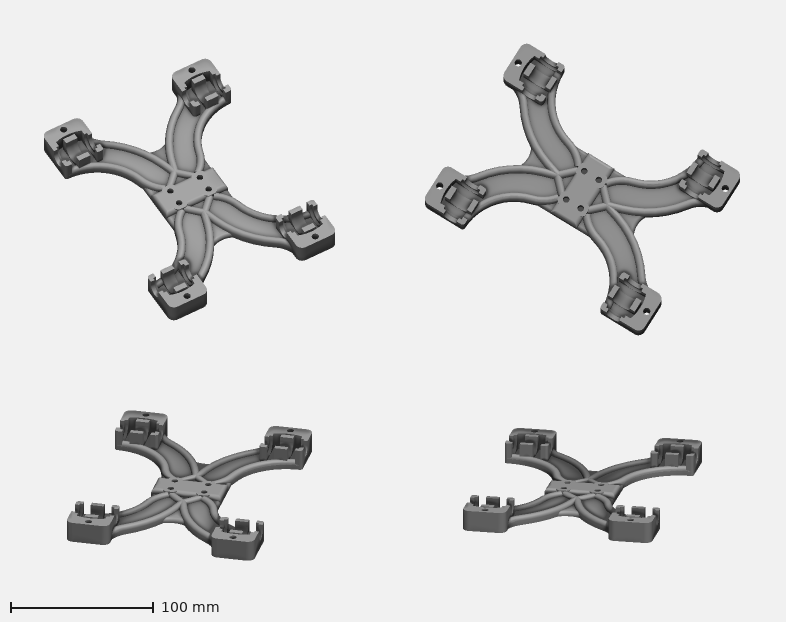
import cadquery as cq
import math

BLOCK_LEFT, BLOCK_RIGHT = -90.0, -56.0
BLOCK_FRONT, BLOCK_BACK = 36.5, 67.5
BLOCK_HEIGHT = 14.78
BLOCK_MID_Y = (BLOCK_FRONT + BLOCK_BACK) / 2
OUTER_CORNER_RADIUS = 5.0
INNER_CORNER_RADIUS = 2.0
MOUNT_HOLE_X = -85.3
MOUNT_HOLE_DIAMETER = 5.0

AXLE_X = -67.0
AXLE_Z = 11.0
AXLE_SLOT_RADIUS = 5.3
RECESS_RADIUS = 7.4
RECESS_LENGTH = 24.9
POCKET_LENGTH = 20.5
POCKET_LEFT = -80.1
POCKET_END_LEFT = -78.3
CRADLE_LEFT, CRADLE_RIGHT = -78.2, -56.2
CRADLE_LENGTH = 9.2
CRADLE_RADIUS = 7.0

FLOOR_HEIGHT = 3.3
RIDGE_HALF_WIDTH = 2.9
RIDGE_TOP_HALF_WIDTH = 0.15
RIDGE_ROUND = RIDGE_HALF_WIDTH - RIDGE_TOP_HALF_WIDTH
RIDGE_HEIGHT = 6.12
DIAGONAL_HEIGHT = 6.02
OUTER_CENTER = (-15.5, 65.75)
OUTER_EDGE_RADIUS = -BLOCK_RIGHT + OUTER_CENTER[0]
OUTER_RADIUS = OUTER_EDGE_RADIUS + RIDGE_HALF_WIDTH
OUTER_TURN_ANGLE = 254.6
OUTER_END_RADIUS = 28.7
OUTER_END_ANGLE = 36.0
INNER_CENTER = (-9.0, 71.3)
INNER_RADIUS = 71.3
INNER_FLARE_ANGLE = 215.0
INNER_FLARE_RADIUS = 24.0
INNER_FLARE_END_ANGLE = 80.0
INNER_TURN_ANGLE = 252.2
JUNCTION = (-20.5, 0.2)
DIAGONAL_OVERRUN = 1.5
DIAGONAL_PLATE_OVERLAP = 0.5

PLATE_HALF_X = 10.9
PAD_HALF_X = 11.3
PLATE_HALF_Y = 25.0
PLATE_HEIGHT = 6.7
PLATE_END_FILLET = 2.5
PLATE_SIDE_FILLET = PLATE_HEIGHT - FLOOR_HEIGHT
PAD_LENGTH = 10.0
PAD_CORNER = 2.0
SCREW_X, SCREW_Y = 6.0, 12.0
SCREW_HOLE_DIAMETER = 4.6
SCREW_HOLE_DEPTH = 5.0

WEB_EDGE_FILLET = 2.5
WEB_HALF_X = 22.0
SIDE_WEB_EDGE_X = -45.2
SIDE_WEB_CORNER = (-48.7, 10.0)


def polar(center, radius, degrees):
    angle = math.radians(degrees)
    return (center[0] + radius * math.cos(angle), center[1] + radius * math.sin(angle))


def box(x0, x1, y0, y1, z0, z1):
    return cq.Workplane("XY").box(x1 - x0, y1 - y0, z1 - z0, centered=False).translate((x0, y0, z0))


def both_sides(shape, plane):
    return shape.union(shape.mirror(plane))


def draw_outer_line(sketch):
    """Arc from the block, then a reverse arc into the centre plate."""
    end_center = polar(OUTER_CENTER, OUTER_RADIUS + OUTER_END_RADIUS, OUTER_TURN_ANGLE)
    end_start_angle = OUTER_TURN_ANGLE - 180
    end_mid_angle = (end_start_angle + OUTER_END_ANGLE) / 2
    return (
        sketch.moveTo(*polar(OUTER_CENTER, OUTER_RADIUS, 180))
        .threePointArc(
            polar(OUTER_CENTER, OUTER_RADIUS, (180 + OUTER_TURN_ANGLE) / 2),
            polar(OUTER_CENTER, OUTER_RADIUS, OUTER_TURN_ANGLE),
        )
        .threePointArc(
            polar(end_center, OUTER_END_RADIUS, end_mid_angle),
            polar(end_center, OUTER_END_RADIUS, OUTER_END_ANGLE),
        )
    )


def flare_center():
    return polar(INNER_CENTER, INNER_RADIUS + INNER_FLARE_RADIUS, INNER_FLARE_ANGLE)


def inner_flare_start():
    return polar(flare_center(), INNER_FLARE_RADIUS, INNER_FLARE_END_ANGLE)


def draw_inner_line(sketch):
    """From the flare start: flare out of the block, long arc, then a short reverse arc to the junction."""
    flare_mid_angle = (INNER_FLARE_END_ANGLE + INNER_FLARE_ANGLE - 180) / 2
    return (
        sketch.threePointArc(
            polar(flare_center(), INNER_FLARE_RADIUS, flare_mid_angle),
            polar(INNER_CENTER, INNER_RADIUS, INNER_FLARE_ANGLE),
        )
        .threePointArc(
            polar(INNER_CENTER, INNER_RADIUS, (INNER_FLARE_ANGLE + INNER_TURN_ANGLE) / 2),
            polar(INNER_CENTER, INNER_RADIUS, INNER_TURN_ANGLE),
        )
        .tangentArcPoint(JUNCTION, relative=False)
    )


def ridge(path, start, heading, height=RIDGE_HEIGHT):
    """Round-topped bar swept along a path that starts at a point with a given heading."""
    angle = math.radians(heading)
    plane = cq.Plane(
        origin=(start[0], start[1], 0),
        xDir=(-math.sin(angle), math.cos(angle), 0),
        normal=(math.cos(angle), math.sin(angle), 0),
    )
    profile = (
        cq.Workplane(plane)
        .moveTo(-RIDGE_HALF_WIDTH, 0)
        .lineTo(RIDGE_HALF_WIDTH, 0)
        .lineTo(RIDGE_HALF_WIDTH, height - RIDGE_ROUND)
        .radiusArc((RIDGE_TOP_HALF_WIDTH, height), -RIDGE_ROUND)
        .lineTo(-RIDGE_TOP_HALF_WIDTH, height)
        .radiusArc((-RIDGE_HALF_WIDTH, height - RIDGE_ROUND), -RIDGE_ROUND)
        .close()
    )
    return profile.sweep(path)


def outer_ridge():
    path = draw_outer_line(cq.Workplane("XY"))
    return ridge(path, polar(OUTER_CENTER, OUTER_RADIUS, 180), -90)


def inner_ridge():
    start = inner_flare_start()
    path = draw_inner_line(cq.Workplane("XY").moveTo(*start))
    return ridge(path, start, INNER_FLARE_END_ANGLE - 90)


def diagonal_end():
    """End of the 45 degree line from the junction, just inside the centre plate."""
    x = -PLATE_HALF_X + DIAGONAL_PLATE_OVERLAP
    return (x, JUNCTION[1] + x - JUNCTION[0])


def diagonal_ridge():
    """Short straight ridge from the junction up to the centre plate."""
    start = (JUNCTION[0] - DIAGONAL_OVERRUN, JUNCTION[1] - DIAGONAL_OVERRUN)
    path = cq.Workplane("XY").moveTo(*start).lineTo(*diagonal_end())
    return ridge(path, start, 45, DIAGONAL_HEIGHT)


def arm_floor():
    outline = draw_outer_line(cq.Workplane("XY")).lineTo(*diagonal_end()).lineTo(*JUNCTION)
    outline = outline.lineTo(*polar(INNER_CENTER, INNER_RADIUS, INNER_TURN_ANGLE))
    outline = outline.threePointArc(
        polar(INNER_CENTER, INNER_RADIUS, (INNER_FLARE_ANGLE + INNER_TURN_ANGLE) / 2),
        polar(INNER_CENTER, INNER_RADIUS, INNER_FLARE_ANGLE),
    )
    return outline.lineTo(*inner_flare_start()).lineTo(AXLE_X, BLOCK_MID_Y).close().extrude(FLOOR_HEIGHT)


def along_axle(radius, length):
    """U-shaped cutter, open at the top, centred in the block."""
    y0 = BLOCK_MID_Y - length / 2
    y1 = BLOCK_MID_Y + length / 2
    round_part = cq.Workplane("XZ", origin=(AXLE_X, y1, AXLE_Z)).circle(radius).extrude(length)
    return round_part.union(box(AXLE_X - radius, AXLE_X + radius, y0, y1, AXLE_Z, BLOCK_HEIGHT))


def block():
    body = box(BLOCK_LEFT, BLOCK_RIGHT, BLOCK_FRONT, BLOCK_BACK, 0, BLOCK_HEIGHT)
    body = body.edges("|Z and <X").fillet(OUTER_CORNER_RADIUS)
    return body.edges("|Z and >X").fillet(INNER_CORNER_RADIUS)


def pocket():
    y0 = BLOCK_MID_Y - POCKET_LENGTH / 2
    y1 = BLOCK_MID_Y + POCKET_LENGTH / 2
    return (
        cq.Workplane("XY", origin=(0, 0, FLOOR_HEIGHT))
        .moveTo(BLOCK_RIGHT, y0)
        .lineTo(POCKET_END_LEFT, y0)
        .threePointArc((POCKET_LEFT, BLOCK_MID_Y), (POCKET_END_LEFT, y1))
        .lineTo(BLOCK_RIGHT, y1)
        .close()
        .extrude(BLOCK_HEIGHT)
    )


def cradle():
    y0 = BLOCK_MID_Y - CRADLE_LENGTH / 2
    y1 = BLOCK_MID_Y + CRADLE_LENGTH / 2
    body = box(CRADLE_LEFT, CRADLE_RIGHT, y0, y1, 0, BLOCK_HEIGHT)
    return body.cut(along_axle(CRADLE_RADIUS, CRADLE_LENGTH))


def mount_hole():
    centre = cq.Workplane("XY").center(MOUNT_HOLE_X, BLOCK_MID_Y)
    return centre.circle(MOUNT_HOLE_DIAMETER / 2).extrude(BLOCK_HEIGHT)


def arm():
    """One arm with its corner block; the outer ridge runs on across the pocket floor."""
    body = arm_floor().union(inner_ridge()).union(block())
    body = body.cut(pocket()).union(outer_ridge())
    body = body.cut(along_axle(AXLE_SLOT_RADIUS, BLOCK_BACK - BLOCK_FRONT))
    body = body.cut(along_axle(RECESS_RADIUS, RECESS_LENGTH))
    return body.union(cradle()).cut(mount_hole())


def plate():
    """Centre plate with rounded edges; chamfered pads carry the screw holes to the full width."""
    body = box(-PLATE_HALF_X, PLATE_HALF_X, -PLATE_HALF_Y, PLATE_HALF_Y, 0, PLATE_HEIGHT)
    body = body.faces(">Z").edges("|Y").fillet(PLATE_SIDE_FILLET)
    pads = (
        cq.Workplane("XY")
        .pushPoints([(0, SCREW_Y), (0, -SCREW_Y)])
        .rect(2 * PAD_HALF_X, PAD_LENGTH)
        .extrude(PLATE_HEIGHT)
        .edges("|Z")
        .chamfer(PAD_CORNER)
    )
    body = body.union(pads)
    envelope = box(-PAD_HALF_X, PAD_HALF_X, -PLATE_HALF_Y, PLATE_HALF_Y, 0, PLATE_HEIGHT)
    envelope = envelope.faces(">Z").edges("|X").fillet(PLATE_END_FILLET)
    return body.intersect(envelope)


def centre_web():
    web = box(-WEB_HALF_X, WEB_HALF_X, -PLATE_HALF_Y, PLATE_HALF_Y, 0, FLOOR_HEIGHT)
    return web.faces(">Z").edges("|X").fillet(WEB_EDGE_FILLET)


def side_web():
    """Web between the two arms of one side, with a hollow rounded edge."""
    x, y = SIDE_WEB_CORNER
    web = (
        cq.Workplane("XY")
        .moveTo(JUNCTION[0], 0)
        .lineTo(x, y)
        .threePointArc((SIDE_WEB_EDGE_X, 0), (x, -y))
        .close()
        .extrude(FLOOR_HEIGHT)
    )
    return web.faces(">Z").edges("%CIRCLE").fillet(WEB_EDGE_FILLET)


def screw_holes():
    return (
        cq.Workplane("XY", origin=(0, 0, PLATE_HEIGHT - SCREW_HOLE_DEPTH))
        .rect(2 * SCREW_X, 2 * SCREW_Y, forConstruction=True)
        .vertices()
        .circle(SCREW_HOLE_DIAMETER / 2)
        .extrude(SCREW_HOLE_DEPTH)
    )


def trimmed_quarter():
    """One complete quarter of the part, cut exactly at the two symmetry planes."""
    body = arm().union(diagonal_ridge()).union(side_web()).union(centre_web()).union(plate())
    return body.intersect(box(BLOCK_LEFT, 0, 0, BLOCK_BACK, 0, BLOCK_HEIGHT))


half = both_sides(trimmed_quarter(), "XZ")
result = both_sides(half, "YZ").cut(screw_holes())